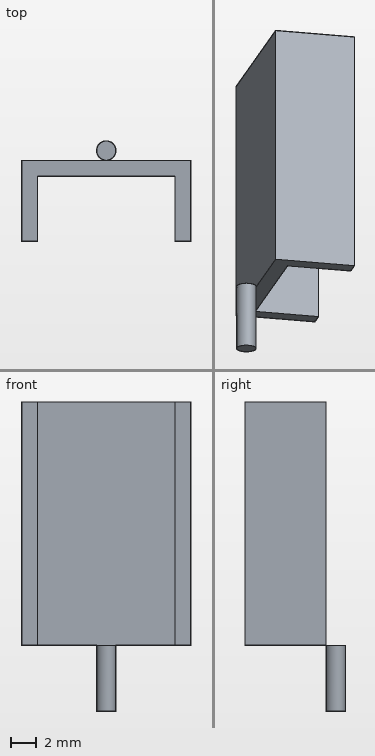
import cadquery as cq

width = 13.2
total_depth = 7.85
total_height = 24.15

pin_diameter = 1.52
pin_length = 5.15

wall_thickness = 1.25
channel_depth = total_depth - pin_diameter
channel_height = total_height - pin_length


def make_channel():
    """U-shaped channel, open toward -Y, with its back face on Y = 0 and its lower end on Z = 0."""
    block = cq.Workplane("XY").box(
        width, channel_depth, channel_height, centered=(True, False, False)
    ).translate((0, -channel_depth, 0))
    cavity = cq.Workplane("XY").box(
        width - 2 * wall_thickness,
        channel_depth - wall_thickness,
        channel_height,
        centered=(True, False, False),
    ).translate((0, -channel_depth, 0))
    return block.cut(cavity)


def make_pin():
    """Round pin behind the back face, running down from the level of the channel's lower end."""
    return (
        cq.Workplane("XY")
        .center(0, pin_diameter / 2)
        .circle(pin_diameter / 2)
        .extrude(-pin_length)
    )


channel = make_channel()
pin = make_pin()

result = cq.Compound.makeCompound([channel.val(), pin.val()])